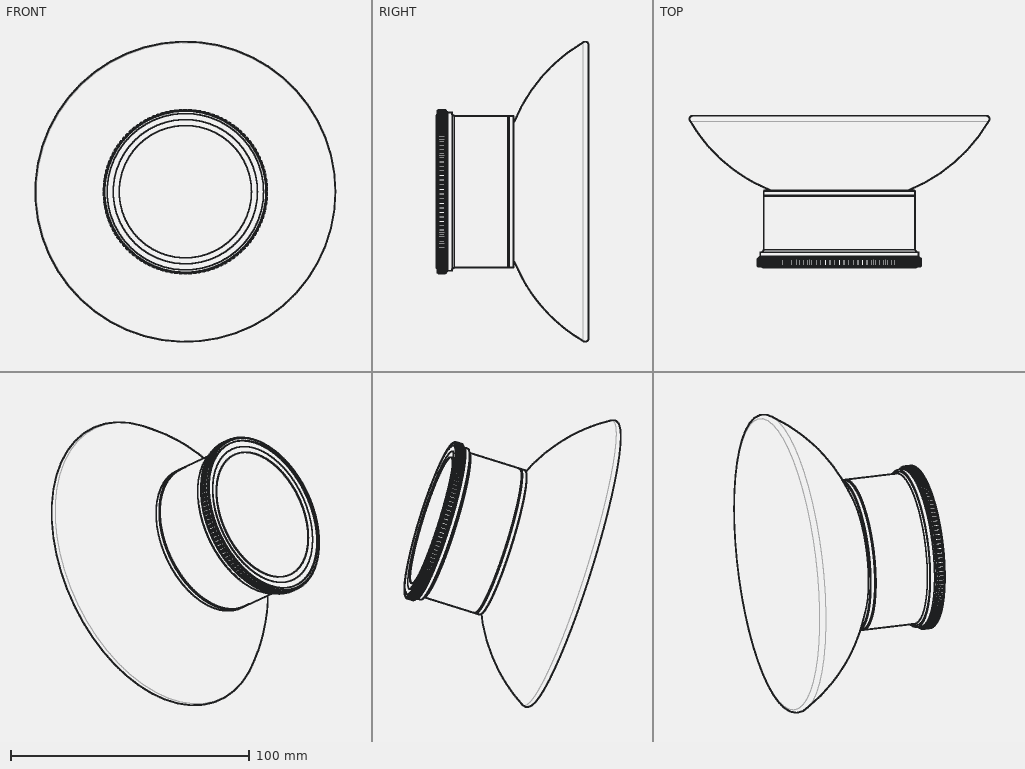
import cadquery as cq


overall_length = 63.83
bowl_diameter = 125.97

bowl_start = 32.5
bowl_neck_radius = 29.1
bowl_arc_radius = 69.0
bowl_rim_start = 61.4
bowl_rim_radius = 62.6
rim_round = 1.5

barrel_radius = 31.8
band_length = 2.0
band_round = 0.3
groove_width = 0.5
groove_depth = 0.2
collar_radius = 33.25
collar_back = 7.5
collar_chamfer_length = 0.9
collar_chamfer_height = 0.7

knurl_radius = 34.4
ring_front = 0.35
ring_back = 4.8
ring_lip_length = 0.6
ring_lip_height = 0.4
knurl_chamfer = 0.6
tooth_count = 110
tooth_depth = 0.5
bead_inner_radius = 30.25
bead_outer_radius = 32.8

disc_face = 0.8
disc_recess_radius = 27.75
disc_recess_depth = 0.3


def revolve_about_y(outline):
    """Revolve a closed (radius, Y) outline a full turn about the Y axis."""
    return outline.close().revolve(360, (0, 0, 0), (0, 1, 0))


def make_bowl():
    outer_radius = bowl_diameter / 2
    outline = (
        cq.Workplane("XY")
        .moveTo(0, bowl_start)
        .lineTo(bowl_neck_radius, bowl_start)
        .radiusArc((bowl_rim_radius, bowl_rim_start), -bowl_arc_radius)
        .threePointArc((outer_radius, overall_length - rim_round),
                       (outer_radius - rim_round, overall_length))
        .lineTo(0, overall_length)
    )
    return revolve_about_y(outline)


def make_barrel():
    band_front = bowl_start - band_length
    groove_front = band_front - groove_width
    outline = (
        cq.Workplane("XY")
        .moveTo(0, ring_back)
        .lineTo(collar_radius, ring_back)
        .lineTo(collar_radius, collar_back - collar_chamfer_length)
        .lineTo(barrel_radius + collar_chamfer_height, collar_back - collar_chamfer_length)
        .lineTo(barrel_radius, collar_back)
        .lineTo(barrel_radius, groove_front)
        .lineTo(barrel_radius - groove_depth, groove_front)
        .lineTo(barrel_radius - groove_depth, band_front)
        .lineTo(barrel_radius, band_front)
        .lineTo(barrel_radius, bowl_start - band_round)
        .lineTo(barrel_radius - band_round, bowl_start)
        .lineTo(0, bowl_start)
    )
    return revolve_about_y(outline)


def make_knurl_cutters():
    """V-shaped bars with 90 degree sides, one for each gap between teeth, set around the Y axis."""
    overshoot = 0.3
    half_width = tooth_depth + overshoot
    bar = (
        cq.Workplane("XZ")
        .moveTo(knurl_radius - tooth_depth, 0)
        .lineTo(knurl_radius + overshoot, half_width)
        .lineTo(knurl_radius + overshoot, -half_width)
        .close()
        .extrude(-ring_back)
    )
    pitch = 360 / tooth_count
    return [bar.rotate((0, 0, 0), (0, 1, 0), i * pitch).val() for i in range(tooth_count)]


def make_knurled_ring():
    chamfer_radius = knurl_radius - knurl_chamfer
    teeth_back = ring_back - ring_lip_length
    bead_middle = (bead_inner_radius + bead_outer_radius) / 2
    outline = (
        cq.Workplane("XY")
        .moveTo(bead_inner_radius, ring_back)
        .lineTo(bead_inner_radius, disc_face)
        .threePointArc((bead_middle, 0), (bead_outer_radius, disc_face))
        .lineTo(bead_outer_radius, ring_front)
        .lineTo(chamfer_radius, ring_front)
        .lineTo(knurl_radius, ring_front + knurl_chamfer)
        .lineTo(knurl_radius, teeth_back - knurl_chamfer)
        .lineTo(chamfer_radius, teeth_back)
        .lineTo(collar_radius + ring_lip_height, teeth_back)
        .lineTo(collar_radius, ring_back)
    )
    ring = revolve_about_y(outline)
    return cq.Workplane(ring.val().cut(*make_knurl_cutters()))


def make_disc():
    recess_floor = disc_face + disc_recess_depth
    outline = (
        cq.Workplane("XY")
        .moveTo(0, recess_floor)
        .lineTo(disc_recess_radius, recess_floor)
        .lineTo(disc_recess_radius, disc_face)
        .lineTo(bead_inner_radius, disc_face)
        .lineTo(bead_inner_radius, ring_back)
        .lineTo(0, ring_back)
    )
    return revolve_about_y(outline)


bowl = make_bowl()
barrel = make_barrel()
knurled_ring = make_knurled_ring()
front_disc = make_disc()

result = cq.Compound.makeCompound(
    [bowl.val(), barrel.val(), *knurled_ring.vals(), front_disc.val()]
)